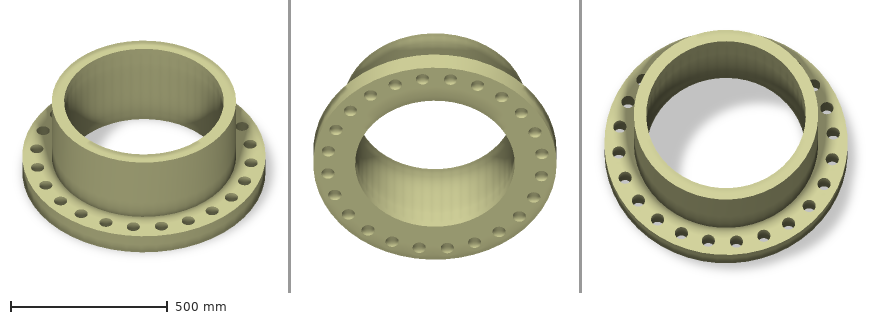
import cadquery as cq

flange_diameter = 775.0
flange_thickness = 68.0

total_height = 298.0
neck_diameter = 587.0
bore_diameter = 508.0

bolt_count = 24
bolt_circle_diameter = 685.5
bolt_hole_diameter = 42.0


def solid_body():
    """Flange disc with the coaxial neck on top of it, base at Z = 0."""
    flange = cq.Workplane("XY").circle(flange_diameter / 2).extrude(flange_thickness)
    neck = cq.Workplane("XY").circle(neck_diameter / 2).extrude(total_height)
    return flange.union(neck)


def bore():
    """Straight bore through the full height."""
    return cq.Workplane("XY").circle(bore_diameter / 2).extrude(total_height)


def bolt_holes():
    """Ring of equally spaced holes through the flange."""
    return (
        cq.Workplane("XY")
        .polarArray(bolt_circle_diameter / 2, 0, 360, bolt_count)
        .circle(bolt_hole_diameter / 2)
        .extrude(flange_thickness)
    )


result = solid_body().cut(bore()).cut(bolt_holes())